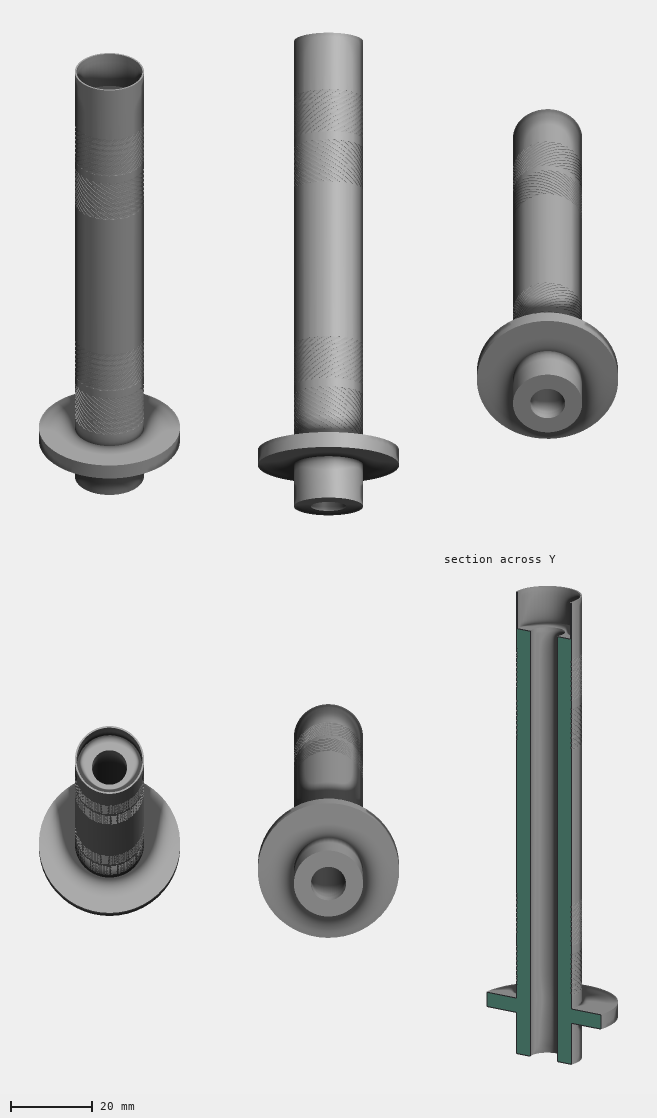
import cadquery as cq
import math

total_length = 117.8
tube_diameter = 17.0
bore_diameter = 16.1
bore_depth = 9.3
through_hole_diameter = 8.6

flange_diameter = 34.6
flange_bottom = 10.5
flange_thickness = 3.8

bearing_middles = (29.2, 91.7)
band_height = 10.6
plain_strip_height = 2.1
groove_count = 28
groove_lead = 34.5
groove_depth = 0.1
groove_fraction = 0.33

tube_radius = tube_diameter / 2
groove_floor_radius = tube_radius - groove_depth
pitch_angle = 360 / groove_count
groove_angle = groove_fraction * pitch_angle
band_twist = 360 * band_height / groove_lead


def point_on_circle(radius, angle):
    """Point at an angle in degrees, counted from -Y towards +X."""
    return (radius * math.sin(math.radians(angle)), -radius * math.cos(math.radians(angle)))


def cross_section(groove_radius):
    """Outline of alternating groove and land arcs; a groove radius equal to the tube's gives a circle."""
    outline = cq.Workplane("XY").moveTo(*point_on_circle(tube_radius, 0))
    for index in range(groove_count):
        groove_start = index * pitch_angle
        groove_middle = groove_start + groove_angle / 2
        groove_end = groove_start + groove_angle
        next_groove_start = groove_start + pitch_angle
        land_middle = (groove_end + next_groove_start) / 2
        if groove_radius != tube_radius:
            outline = outline.lineTo(*point_on_circle(groove_radius, groove_start))
        outline = outline.threePointArc(
            point_on_circle(groove_radius, groove_middle), point_on_circle(groove_radius, groove_end)
        )
        if groove_radius != tube_radius:
            outline = outline.lineTo(*point_on_circle(tube_radius, groove_end))
        outline = outline.threePointArc(
            point_on_circle(tube_radius, land_middle), point_on_circle(tube_radius, next_groove_start)
        )
    return outline.close()


def side_faces(solid):
    """Faces of a solid other than its flat ends."""
    return [face for face in solid.Faces() if face.geomType() != "PLANE"]


def turned(shape, angle):
    return shape.rotate(cq.Vector(0, 0, 0), cq.Vector(0, 0, 1), angle)


def raised(shape, height):
    return shape.translate(cq.Vector(0, 0, height))


def plain_faces(bottom, top, turn):
    """Plain length of tube, divided around its rim to match the neighbouring grooves."""
    length = cross_section(tube_radius).extrude(top - bottom).val()
    return side_faces(raised(turned(length, turn), bottom))


def bearing_faces():
    """Both grooved bands and the strip between them, with the strip centred on Z = 0."""
    band_bottom = plain_strip_height / 2
    band = cross_section(groove_floor_radius).twistExtrude(band_height, band_twist).val()
    full_disc = cq.Face.makeFromWires(cross_section(tube_radius).val())
    grooved_disc = cq.Face.makeFromWires(cross_section(groove_floor_radius).val())
    groove_ends = full_disc.cut(grooved_disc)
    upper_faces = side_faces(raised(band, band_bottom))
    upper_faces += raised(groove_ends, band_bottom).Faces()
    upper_faces += raised(turned(groove_ends, band_twist), band_bottom + band_height).Faces()
    lower_faces = [face.mirror("XY") for face in upper_faces]
    return upper_faces + lower_faces + plain_faces(-band_bottom, band_bottom, 0)


def grooved_rod():
    """Solid rod of the tube's full length, sewn from plain lengths and bearings, bottom to top."""
    end_disc = turned(cq.Face.makeFromWires(cross_section(tube_radius).val()), band_twist)
    faces = [end_disc, raised(end_disc, total_length)]
    bearing = bearing_faces()
    half_bearing = plain_strip_height / 2 + band_height
    plain_bottom = 0
    for middle in bearing_middles:
        faces += plain_faces(plain_bottom, middle - half_bearing, band_twist)
        faces += [raised(face, middle) for face in bearing]
        plain_bottom = middle + half_bearing
    faces += plain_faces(plain_bottom, total_length, band_twist)
    return cq.Workplane(cq.Solid.makeSolid(cq.Shell.makeShell(faces)))


def disc(diameter, bottom, top):
    return cq.Workplane("XY").workplane(offset=bottom).circle(diameter / 2).extrude(top - bottom)


flange = disc(flange_diameter, flange_bottom, flange_bottom + flange_thickness)

recess = disc(bore_diameter, total_length - bore_depth, total_length)
through_hole = disc(through_hole_diameter, 0, total_length)

result = grooved_rod().union(flange).cut(recess).cut(through_hole)